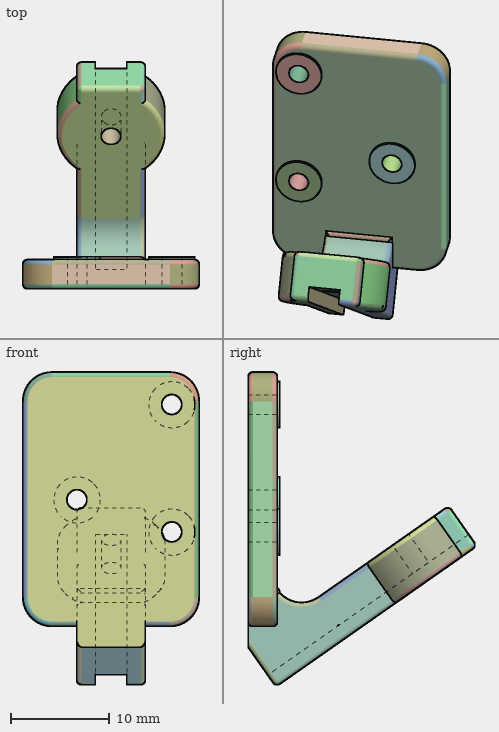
import cadquery as cq
import math

plate_width = 18.0
plate_height = 25.93
plate_thickness = 3.0
corner_radius = 3.0
edge_radius = 0.5

screw_hole_diameter = 2.0
pad_diameter = 4.72
pad_height = 0.25
pad_face_y = plate_thickness + pad_height
right_column_x = 6.2
left_column_x = -3.48
top_screw_z = plate_height - 3.32
bottom_screw_z = top_screw_z - 12.98
left_screw_z = plate_height - 13.0
screw_positions = [
    (right_column_x, top_screw_z),
    (right_column_x, bottom_screw_z),
    (left_column_x, left_screw_z),
]

arm_angle = 35
arm_length = 25.0
arm_width = 7.0
arm_thickness = 5.0
arm_heel_y = 2.85
arm_heel_z = -6.15
boss_diameter = 11.0
boss_from_end = 6.0
boss_x = arm_length - boss_from_end
boss_hole_diameter = 2.0
groove_width = 3.2
groove_depth = 1.5

web_arc_radius = 3.0
web_arc_start = 8.8
web_overrun = 1.6

tab_top_z = 3.95


def make_plate():
    plate = (
        cq.Workplane("XY")
        .box(plate_width, plate_thickness, plate_height, centered=(True, False, False))
        .edges("|Y")
        .fillet(corner_radius)
        .faces("<Y or >Y")
        .edges()
        .fillet(edge_radius)
    )
    return plate


def rods_along_y(diameter, y_end):
    """Cylinders on the screw axes, from the front face back to y_end."""
    return cq.Workplane("XZ").pushPoints(screw_positions).circle(diameter / 2).extrude(-y_end)


def nearest(x, z):
    """Selector for the face nearest to a point of the arm's mid-plane."""
    return cq.selectors.NearestToPointSelector((x, 0, z))


def make_arm():
    """Arm in its own frame: X along the arm from its heel, Z through its thickness."""
    angle = math.radians(arm_angle)
    sine = math.sin(angle)
    cosine = math.cos(angle)
    center_z = arm_thickness + web_arc_radius
    mid_angle = math.radians(180 + (90 - arm_angle) / 2)
    arc_middle = (
        web_arc_start + web_arc_radius * math.cos(mid_angle),
        center_z + web_arc_radius * math.sin(mid_angle),
    )
    arc_end = (web_arc_start - web_arc_radius * cosine, center_z + web_arc_radius * sine)
    heel_top = (arm_heel_y + web_overrun) / sine
    arc_end_y = arm_heel_y + arc_end[0] * cosine - arc_end[1] * sine
    run = arc_end_y + web_overrun
    front_top = (arc_end[0] - run * cosine, arc_end[1] + run * sine)

    arm = (
        cq.Workplane("XZ")
        .moveTo(0, 0)
        .lineTo(arm_length, 0)
        .lineTo(arm_length, arm_thickness)
        .lineTo(web_arc_start, arm_thickness)
        .threePointArc(arc_middle, arc_end)
        .lineTo(*front_top)
        .lineTo(0, heel_top)
        .close()
        .extrude(arm_width / 2, both=True)
    )
    boss = cq.Workplane("XY").center(boss_x, 0).circle(boss_diameter / 2).extrude(arm_thickness)
    arm = arm.union(boss)

    heel_face = arm.faces(nearest(0, heel_top / 2))
    top_face = arm.faces(nearest(boss_x, arm_thickness))
    arc_face = arm.faces(nearest(*arc_middle))
    rim = (
        arm.faces("<Z")
        .edges()
        .add(arm.faces(">X").edges())
        .add(heel_face.edges("not(|Y)"))
        .add(top_face.edges("not(<X)"))
        .add(arc_face.edges("%CIRCLE"))
    )
    arm = arm.newObject(set(rim.vals())).fillet(edge_radius)

    groove = cq.Workplane("XY").box(arm_length, groove_width, groove_depth, centered=(False, True, False))
    hole = cq.Workplane("XY").center(boss_x, 0).circle(boss_hole_diameter / 2).extrude(arm_thickness)
    arm = arm.cut(groove).cut(hole)

    frame = cq.Plane(
        origin=(0, arm_heel_y, arm_heel_z),
        xDir=(0, cosine, sine),
        normal=(0, -sine, cosine),
    )
    arm = cq.Workplane(arm.val().moved(cq.Location(frame)))
    trim = cq.Workplane("XZ").rect(2 * plate_width, 4 * plate_height).extrude(arm_length)
    return arm.cut(trim)


def make_tab():
    tab = (
        cq.Workplane("XY")
        .box(arm_width, pad_face_y, tab_top_z, centered=(True, False, False))
        .faces(">Y")
        .edges("not(<Z)")
        .fillet(edge_radius)
    )
    return tab


pads = rods_along_y(pad_diameter, pad_face_y)
screw_holes = rods_along_y(screw_hole_diameter, pad_face_y)
result = make_plate().union(make_tab()).union(make_arm()).union(pads).cut(screw_holes)